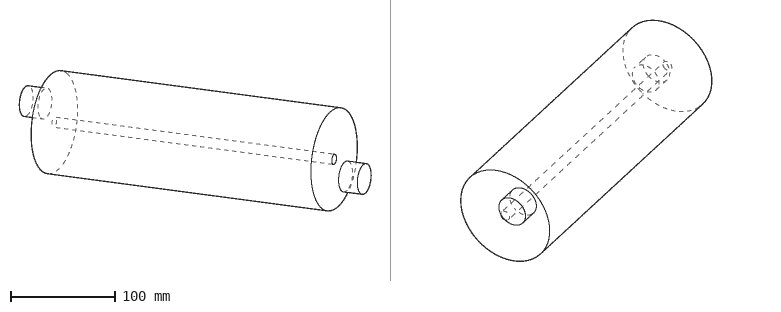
import cadquery as cq

overall_length = 340.0
drum_diameter = 100.0
pin_length = 20.0
pin_diameter = 30.0
bore_diameter = 10.0
drum_length = overall_length - 2 * pin_length

left_pin_center = (-20.0, 23.5)
right_pin_center = (24.5, -23.0)


def cylinder_along_x(diameter, start_x, length, center=(0, 0)):
    """Cylinder running toward +X from start_x, with its axis at center (Y, Z)."""
    plane = cq.Workplane("YZ", origin=(start_x, 0, 0))
    return plane.center(*center).circle(diameter / 2).extrude(length)


drum = cylinder_along_x(drum_diameter, -drum_length / 2, drum_length)
bore = cylinder_along_x(bore_diameter, -drum_length / 2, drum_length)
left_pin = cylinder_along_x(pin_diameter, -overall_length / 2, pin_length, left_pin_center)
right_pin = cylinder_along_x(pin_diameter, drum_length / 2, pin_length, right_pin_center)

result = drum.cut(bore).union(left_pin).union(right_pin)